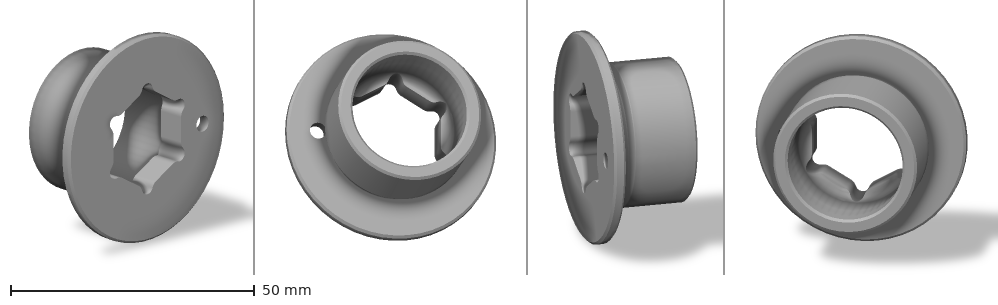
import cadquery as cq
import math

LENGTH = 20.0
EDGE_CHAMFER = 0.5

FLANGE_RADIUS = 22.0
FLANGE_THICKNESS = 2.5
FLANGE_START = LENGTH - FLANGE_THICKNESS

BARREL_RADIUS = 15.0
NECK_RADIUS = 13.5
BARREL_LENGTH = 13.45
CONE_LENGTH = 1.05
NECK_START = BARREL_LENGTH + CONE_LENGTH
NECK_FILLET = 0.25

BORE_RADIUS = 12.0
BORE_DEPTH = 14.0
FLOOR_FILLET = 2.0

HEX_SIDES = 6
HEX_ACROSS_FLATS = 19.0
HEX_CORNER_RADIUS = HEX_ACROSS_FLATS / 2 / math.cos(math.pi / HEX_SIDES)
RELIEF_TIP_RADIUS = 11.9
RELIEF_ROUND_RADIUS = 1.5
RELIEF_FLARE_ANGLE = math.radians(22)
RELIEF_BLEND_RADIUS = 2.0

PIN_HOLE_RADIUS = 1.7
PIN_HOLE_OFFSET = 15.5


def circle_at(position, radius):
    """Selector for the circular edge of a given radius at a given X."""
    margin = 0.01
    reach = radius + margin
    return cq.selectors.BoxSelector(
        (position - margin, -reach, -reach),
        (position + margin, reach, reach),
        boundingbox=True,
    )


def make_body():
    """Turned outside shape: barrel, cone, neck and flange."""
    profile = (
        cq.Workplane("XY")
        .moveTo(0, 0)
        .lineTo(0, BARREL_RADIUS - EDGE_CHAMFER)
        .lineTo(EDGE_CHAMFER, BARREL_RADIUS)
        .lineTo(BARREL_LENGTH, BARREL_RADIUS)
        .lineTo(NECK_START, NECK_RADIUS)
        .lineTo(FLANGE_START, NECK_RADIUS)
        .lineTo(FLANGE_START, FLANGE_RADIUS - EDGE_CHAMFER)
        .lineTo(FLANGE_START + EDGE_CHAMFER, FLANGE_RADIUS)
        .lineTo(LENGTH - EDGE_CHAMFER, FLANGE_RADIUS)
        .lineTo(LENGTH, FLANGE_RADIUS - EDGE_CHAMFER)
        .lineTo(LENGTH, 0)
        .close()
    )
    body = profile.revolve(360, (0, 0, 0), (1, 0, 0))
    rounded_edges = [
        (BARREL_LENGTH, BARREL_RADIUS),
        (NECK_START, NECK_RADIUS),
        (FLANGE_START, NECK_RADIUS),
    ]
    for position, radius in rounded_edges:
        body = body.edges(circle_at(position, radius)).fillet(NECK_FILLET)
    return body


def make_bore():
    """Bore with a chamfered mouth and a rounded floor."""
    floor_mid = FLOOR_FILLET * math.sqrt(0.5)
    fillet_start = BORE_DEPTH - FLOOR_FILLET
    fillet_centre_radius = BORE_RADIUS - FLOOR_FILLET
    profile = (
        cq.Workplane("XY")
        .moveTo(0, 0)
        .lineTo(0, BORE_RADIUS + EDGE_CHAMFER)
        .lineTo(EDGE_CHAMFER, BORE_RADIUS)
        .lineTo(fillet_start, BORE_RADIUS)
        .threePointArc(
            (fillet_start + floor_mid, fillet_centre_radius + floor_mid),
            (BORE_DEPTH, fillet_centre_radius),
        )
        .lineTo(BORE_DEPTH, 0)
        .close()
    )
    return profile.revolve(360, (0, 0, 0), (1, 0, 0))


def relief_side_points():
    """Ends of one relief side, as (distance along the corner direction, distance to its side).

    Returns the end of the round tip, the start of the blend and the end of the blend on the flat.
    """
    flat_angle = math.pi / 2 - math.pi / HEX_SIDES
    flat_slope = math.tan(flat_angle)
    flare_slope = math.tan(RELIEF_FLARE_ANGLE)
    round_centre = RELIEF_TIP_RADIUS - RELIEF_ROUND_RADIUS
    round_end_out = round_centre + RELIEF_ROUND_RADIUS * math.sin(RELIEF_FLARE_ANGLE)
    round_end_side = RELIEF_ROUND_RADIUS * math.cos(RELIEF_FLARE_ANGLE)

    slope_difference = flat_slope - flare_slope
    flare_offset = round_end_side + round_end_out * flare_slope
    meet_out = (HEX_CORNER_RADIUS * flat_slope - flare_offset) / slope_difference
    meet_side = (HEX_CORNER_RADIUS - meet_out) * flat_slope

    blend_reach = RELIEF_BLEND_RADIUS * math.tan((flat_angle - RELIEF_FLARE_ANGLE) / 2)
    blend_start = (
        meet_out + blend_reach * math.cos(RELIEF_FLARE_ANGLE),
        meet_side - blend_reach * math.sin(RELIEF_FLARE_ANGLE),
    )
    blend_end = (
        meet_out - blend_reach * math.cos(flat_angle),
        meet_side + blend_reach * math.sin(flat_angle),
    )
    return (round_end_out, round_end_side), blend_start, blend_end


def make_hex_opening():
    """Through hexagon with relieved corners, two of them at +Z and -Z."""
    round_end, blend_start, blend_end = relief_side_points()

    def place(point, angle, side):
        """Y and Z of a relief point for the corner at the given angle; side is -1 or +1."""
        out = point[0]
        across = side * point[1]
        y = out * math.cos(angle) - across * math.sin(angle)
        z = out * math.sin(angle) + across * math.cos(angle)
        return y, z

    first_corner = math.pi / 2
    outline = cq.Workplane("YZ").moveTo(*place(blend_end, first_corner, 1))
    for index in range(1, HEX_SIDES + 1):
        angle = first_corner + 2 * math.pi * index / HEX_SIDES
        outline = (
            outline
            .lineTo(*place(blend_end, angle, -1))
            .tangentArcPoint(place(blend_start, angle, -1), relative=False)
            .lineTo(*place(round_end, angle, -1))
            .threePointArc(place((RELIEF_TIP_RADIUS, 0), angle, 1), place(round_end, angle, 1))
            .lineTo(*place(blend_start, angle, 1))
            .tangentArcPoint(place(blend_end, angle, 1), relative=False)
        )
    return outline.close().extrude(LENGTH)


def make_pin_hole():
    """Round hole through the flange on the +Y side."""
    return (
        cq.Workplane("YZ")
        .workplane(offset=FLANGE_START)
        .center(PIN_HOLE_OFFSET, 0)
        .circle(PIN_HOLE_RADIUS)
        .extrude(FLANGE_THICKNESS)
    )


result = make_body().cut(make_bore()).cut(make_hex_opening()).cut(make_pin_hole())